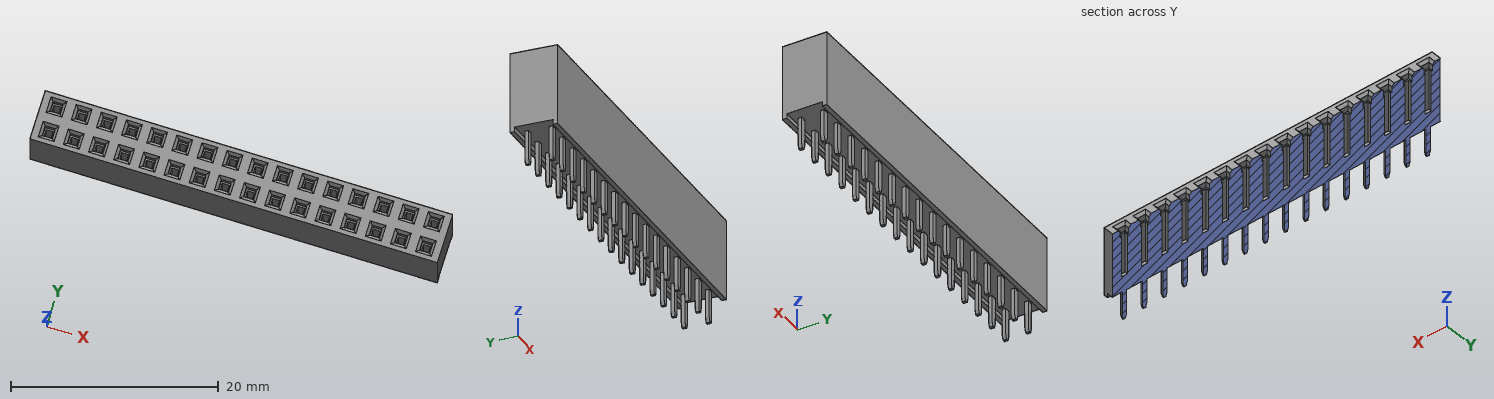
import cadquery as cq

columns = 16
rows = 2
pitch = 2.54
housing_length = 41.14
housing_width = 5.0
housing_height = 8.5

foot_width = 0.5
foot_height = 0.5

pin_width = 0.6
pin_thickness = 0.4
pin_length = 3.0
tip_length = 0.5
tip_width = 0.3

mouth_size = 1.6
throat_size = 1.0
mouth_depth = (mouth_size - throat_size) / 2
well_depth = 0.7
bore_length = 0.7
bore_width = 0.65
bore_depth = 5.0

positions = [
    ((column - (columns - 1) / 2) * pitch, (row - (rows - 1) / 2) * pitch)
    for column in range(columns)
    for row in range(rows)
]


def make_housing():
    """Block standing on Z = 0 with a channel along its underside."""
    block = cq.Workplane("XY").box(
        housing_length, housing_width, housing_height, centered=(True, True, False)
    )
    channel = cq.Workplane("XY").box(
        housing_length, housing_width - 2 * foot_width, foot_height, centered=(True, True, False)
    )
    return block.cut(channel)


def make_pin():
    """Blade from the channel roof down to the tapered tip."""
    shoulder_z = tip_length - pin_length
    outline = [
        (-pin_width / 2, foot_height),
        (-pin_width / 2, shoulder_z),
        (-tip_width / 2, -pin_length),
        (tip_width / 2, -pin_length),
        (pin_width / 2, shoulder_z),
        (pin_width / 2, foot_height),
    ]
    return cq.Workplane("XZ").polyline(outline).close().extrude(pin_thickness / 2, both=True)


def make_socket():
    """Empty space of one socket, from the housing top downwards."""
    throat_z = housing_height - mouth_depth
    mouth = (
        cq.Workplane("XY", origin=(0, 0, throat_z))
        .rect(throat_size, throat_size)
        .workplane(offset=mouth_depth)
        .rect(mouth_size, mouth_size)
        .loft(ruled=True)
    )
    well = cq.Workplane("XY", origin=(0, 0, throat_z)).rect(throat_size, throat_size).extrude(-well_depth)
    bore = (
        cq.Workplane("XY", origin=(0, 0, throat_z - well_depth))
        .rect(bore_length, bore_width)
        .extrude(-bore_depth)
    )
    return mouth.union(well).union(bore)


def at_positions(shape):
    """Copies of shape at every contact position."""
    solid = shape.val()
    return [solid.moved(cq.Location(cq.Vector(x, y, 0))) for x, y in positions]


housing = make_housing().val().cut(*at_positions(make_socket()))
header = housing.fuse(*at_positions(make_pin()))
result = cq.Workplane("XY").newObject(header.Solids())